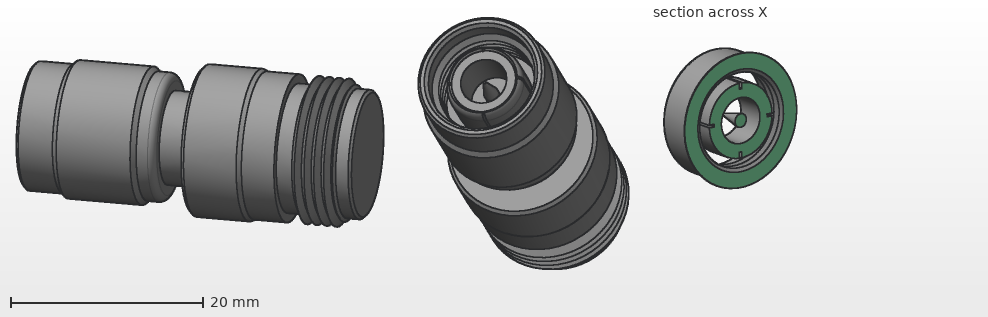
import cadquery as cq

total_length = 36.1

nut_radius = 6.8
nut_grip_radius = 7.25
nut_end_chamfer = 0.3
grip_start = 3.97
grip_end = 13.0
grip_bevel_length = 0.55
nut_end = 14.98
nut_rear_fillet = 0.8

neck_radius = 4.95
flange_start = 18.05
flange_diameter = 16.0
flange_radius = flange_diameter / 2
flange_chamfer = 0.35
flange_bevel_start = 24.08
shoulder_start = 24.6
shoulder_end = 28.1
shoulder_radius = 7.75

jack_radius = 6.8
jack_end_chamfer = 0.3
thread_start = 29.75
thread_length = 4.22
thread_count = 4
thread_pitch = thread_length / thread_count
thread_crest_radius = 7.75
thread_root_radius = 6.85
runout_crest_radius = 7.2
runout_half_width = 0.25

mouth_radius = 6.05
bore_radius = 5.7
taper_start = 2.0
taper_end = 2.53
socket_thread_crest_radius = 5.13
socket_thread_root_radius = 5.9
socket_thread_pitch = 0.9
socket_thread_count = 4
socket_depth = taper_end + socket_thread_count * socket_thread_pitch

sleeve_front = 0.97
sleeve_outer_radius = 4.08
sleeve_inner_radius = 3.43
sleeve_tip_radius = 3.65
sleeve_tip_length = 1.1
slot_width = 0.25
insulator_front = 1.23
insulator_bore_radius = 2.45

pin_radius = 0.75
pin_tip_radius = 0.15
pin_tip_start = 1.6
pin_cone_length = 2.9


def revolve_about_x(profile):
    """Turn a closed profile of (X, radius) points about the X axis."""
    return profile.close().revolve(360, (0, 0, 0), (1, 0, 0))


def thread_points():
    """Ring-shaped thread ridges followed by one low run-out ridge."""
    points = [(thread_start, jack_radius)]
    for ridge in range(thread_count):
        ridge_start = thread_start + ridge * thread_pitch
        points.append((ridge_start + thread_pitch / 2, thread_crest_radius))
        points.append((ridge_start + thread_pitch, thread_root_radius))
    runout_start = thread_start + thread_count * thread_pitch
    points.append((runout_start + runout_half_width, runout_crest_radius))
    points.append((runout_start + 2 * runout_half_width, jack_radius))
    return points


def outer_body():
    profile = (
        cq.Workplane("XZ")
        .lineTo(0, nut_radius - nut_end_chamfer)
        .lineTo(nut_end_chamfer, nut_radius)
        .lineTo(grip_start, nut_radius)
        .lineTo(grip_start + grip_bevel_length, nut_grip_radius)
        .lineTo(grip_end - grip_bevel_length, nut_grip_radius)
        .lineTo(grip_end, nut_radius)
        .lineTo(nut_end - nut_rear_fillet, nut_radius)
        .tangentArcPoint((nut_end, nut_radius - nut_rear_fillet), relative=False)
        .lineTo(nut_end, neck_radius)
        .lineTo(flange_start, neck_radius)
        .lineTo(flange_start, flange_radius - flange_chamfer)
        .lineTo(flange_start + flange_chamfer, flange_radius)
        .lineTo(flange_bevel_start, flange_radius)
        .lineTo(shoulder_start, shoulder_radius)
        .lineTo(shoulder_end, shoulder_radius)
        .lineTo(shoulder_end, jack_radius)
    )
    for x, radius in thread_points():
        profile = profile.lineTo(x, radius)
    profile = (
        profile.lineTo(total_length - jack_end_chamfer, jack_radius)
        .lineTo(total_length, jack_radius - jack_end_chamfer)
        .lineTo(total_length, 0)
    )
    return revolve_about_x(profile)


def socket_cavity():
    """Bevelled bore that tapers into ring-shaped V grooves down to a flat floor."""
    mouth_depth = mouth_radius - bore_radius
    profile = (
        cq.Workplane("XZ")
        .lineTo(0, mouth_radius)
        .lineTo(mouth_depth, bore_radius)
        .lineTo(taper_start, bore_radius)
        .lineTo(taper_end, socket_thread_crest_radius)
    )
    for groove in range(socket_thread_count):
        groove_start = taper_end + groove * socket_thread_pitch
        profile = profile.lineTo(groove_start + socket_thread_pitch / 2, socket_thread_root_radius)
        profile = profile.lineTo(groove_start + socket_thread_pitch, socket_thread_crest_radius)
    profile = profile.lineTo(socket_depth, 0)
    return revolve_about_x(profile)


def contact_sleeve():
    """Sleeve with a rounded tip, split by slots in the XY and XZ planes."""
    lead_in = sleeve_tip_radius - sleeve_inner_radius
    tip_end = sleeve_front + sleeve_tip_length
    profile = (
        cq.Workplane("XZ")
        .moveTo(socket_depth, sleeve_inner_radius)
        .lineTo(socket_depth, sleeve_outer_radius)
        .lineTo(tip_end, sleeve_outer_radius)
        .tangentArcPoint((sleeve_front, sleeve_tip_radius), relative=False)
        .lineTo(sleeve_front + lead_in, sleeve_inner_radius)
    )
    sleeve = revolve_about_x(profile)
    slot_length = socket_depth - sleeve_front
    slot_center = (sleeve_front + socket_depth) / 2
    slot_span = 2 * sleeve_outer_radius
    for size in ((slot_width, slot_span), (slot_span, slot_width)):
        slot = cq.Workplane("XY").box(slot_length, *size).translate((slot_center, 0, 0))
        sleeve = sleeve.cut(slot)
    return sleeve


def insulator():
    return (
        cq.Workplane("YZ", origin=(insulator_front, 0, 0))
        .circle(sleeve_inner_radius)
        .circle(insulator_bore_radius)
        .extrude(socket_depth - insulator_front)
    )


def center_pin():
    profile = (
        cq.Workplane("XZ")
        .moveTo(pin_tip_start, 0)
        .lineTo(pin_tip_start, pin_tip_radius)
        .lineTo(pin_tip_start + pin_cone_length, pin_radius)
        .lineTo(socket_depth, pin_radius)
        .lineTo(socket_depth, 0)
    )
    return revolve_about_x(profile)


result = (
    outer_body()
    .cut(socket_cavity())
    .union(contact_sleeve())
    .union(insulator())
    .union(center_pin())
)